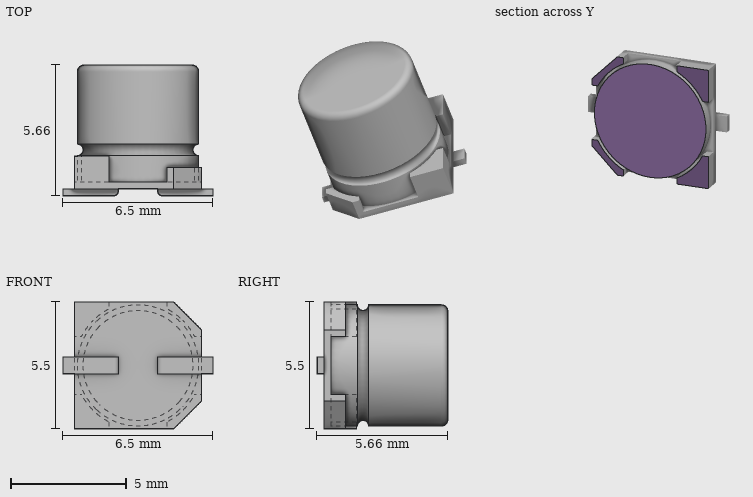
import cadquery as cq


total_length = 6.5
total_height = 5.66

lead_length = 2.4
lead_width = 0.74
lead_thickness = 0.3
lead_end_radius = 0.2

base_side = 5.5
base_corner_chamfer = 1.21
floor_thickness = 0.3
tall_post_height = 1.42
low_post_height = 0.935
post_gap = 2.495
seat_clearance = 0.125

can_diameter = 5.25
can_rim_radius = 0.29
groove_radius = 0.25
groove_height = 1.69

base_half = base_side / 2
can_radius = can_diameter / 2
seat_radius = can_radius + seat_clearance
can_top = total_height - lead_thickness


def box_between(low, high):
    """Axis-aligned box from its lowest corner to its highest corner."""
    size = [b - a for a, b in zip(low, high)]
    return cq.Workplane("XY").box(*size, centered=False).translate(low)


def make_can():
    """Turned can with a rounded top rim and a half-round groove near its foot."""
    return (
        cq.Workplane("XY")
        .moveTo(0, floor_thickness)
        .lineTo(can_radius, floor_thickness)
        .lineTo(can_radius, groove_height - groove_radius)
        .threePointArc(
            (can_radius - groove_radius, groove_height),
            (can_radius, groove_height + groove_radius),
        )
        .lineTo(can_radius, can_top - can_rim_radius)
        .tangentArcPoint((can_radius - can_rim_radius, can_top), relative=False)
        .lineTo(0, can_top)
        .close()
        .revolve(360, (0, 0, 0), (0, 1, 0))
    )


def make_base():
    """Chamfered square floor with four corner posts around a round can seat."""
    base = box_between(
        (-base_half, 0, -base_half),
        (base_half, tall_post_height, base_half),
    )
    base = base.edges("|Y and >X").chamfer(base_corner_chamfer)

    base = base.cut(box_between(
        (0, low_post_height, -base_half),
        (base_half, tall_post_height, base_half),
    ))

    base = base.cut(box_between(
        (-post_gap / 2, floor_thickness, -base_half),
        (post_gap / 2, tall_post_height, base_half),
    ))
    base = base.cut(box_between(
        (-base_half, floor_thickness, -post_gap / 2),
        (base_half, tall_post_height, post_gap / 2),
    ))

    seat = cq.Workplane(cq.Solid.makeCylinder(
        seat_radius,
        tall_post_height - floor_thickness,
        cq.Vector(0, floor_thickness, 0),
        cq.Vector(0, 1, 0),
    ))
    return base.cut(seat)


def make_lead(side):
    """Flat lead under the base; side is -1 for -X and +1 for +X."""
    outer_end = total_length / 2
    lead = box_between(
        (outer_end - lead_length, -lead_thickness, -lead_width / 2),
        (outer_end, 0, lead_width / 2),
    )
    lead = lead.edges("|Z and <X and <Y").fillet(lead_end_radius)
    turn = 0 if side > 0 else 180
    return lead.rotate((0, 0, 0), (0, 1, 0), turn)


can = make_can()
base = make_base()
leads = [make_lead(side) for side in (-1, 1)]

result = cq.Compound.makeCompound([
    can.val(),
    base.val(),
    *[lead.val() for lead in leads],
])